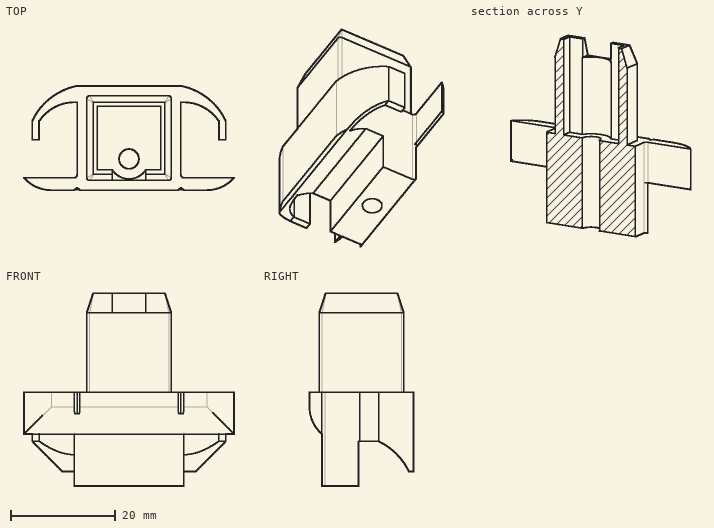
import cadquery as cq
import math

overall_length = 40.35
overall_width = 20.0
overall_height = 37.0
back_y = overall_width / 2
front_y = -back_y

post_side = 16.2
post_height = 18.95
post_corner_radius = 0.52
taper_height = 3.7
taper_top_side = 13.8
taper_top_corner_radius = 0.05
shoulder_z = post_height - taper_height

cavity_side = 12.18
cavity_floor_z = 0.0
screw_y = -4.0
screw_hole_diameter = 3.75
screw_seat_diameter = 7.65
window_width = 6.37

plate_thickness = 2.4
plate_height = 8.05
plate_edge_run = 5.25
plate_back_y = front_y + plate_thickness

web_half_width = 9.95
web_fillet = 0.55
block_back_y = -0.55
block_bottom_z = post_height - overall_height

arm_outer_x = 18.55
arm_thickness = 1.35
arm_tip_y = -0.32
arm_bend_y = 3.3
arm_arc_end_x = 10.1
arm_radius = 12.1
arm_inner_x = arm_outer_x - arm_thickness
arm_inner_bend_y = 3.23
arm_inner_top_y = 6.85
arm_inner_arc_end_x = 10.5
arm_bottom_z = -9.48
hook_bottom_z = -15.25

groove_half_width = 0.55
groove_depth = 0.52
groove_length = 4.15


def arc_radius(run, rise):
    """Radius of an arc that leaves tangent to its run and falls by the rise."""
    return (run**2 + rise**2) / (2 * rise)


def arc_center(start, end, radius):
    """Center of the arc running counterclockwise between two points."""
    dx = end[0] - start[0]
    dy = end[1] - start[1]
    chord = math.hypot(dx, dy)
    offset = math.sqrt(radius**2 - chord**2 / 4) / chord
    return ((start[0] + end[0]) / 2 - dy * offset, (start[1] + end[1]) / 2 + dx * offset)


def arc_middle(center, radius, start, end):
    """Middle point of the shorter arc between two points on a circle."""
    dx = (start[0] + end[0]) / 2 - center[0]
    dy = (start[1] + end[1]) / 2 - center[1]
    reach = radius / math.hypot(dx, dy)
    return (center[0] + dx * reach, center[1] + dy * reach)


plate_edge_radius = arc_radius(plate_edge_run, plate_thickness)
arm_center = arc_center((arm_outer_x, arm_bend_y), (arm_arc_end_x, back_y), arm_radius)
inner_radius = arc_radius(arm_inner_x - arm_inner_arc_end_x, arm_inner_top_y - arm_inner_bend_y)
inner_center = (arm_inner_arc_end_x, arm_inner_top_y - inner_radius)


def plan_half():
    """Right half of the flange in plan, extruded down to the block bottom."""
    plate_arc_x = overall_length / 2 - plate_edge_run
    plate_arc_start = (plate_arc_x, front_y)
    plate_tip = (overall_length / 2, plate_back_y)
    plate_center = (plate_arc_x, front_y + plate_edge_radius)
    inner_top = (arm_inner_arc_end_x, arm_inner_top_y)
    inner_bend = (arm_inner_x, arm_inner_bend_y)
    outer_bend = (arm_outer_x, arm_bend_y)
    outer_top = (arm_arc_end_x, back_y)
    half = (
        cq.Workplane("XY")
        .moveTo(0, front_y)
        .lineTo(*plate_arc_start)
        .threePointArc(arc_middle(plate_center, plate_edge_radius, plate_arc_start, plate_tip), plate_tip)
        .lineTo(web_half_width, plate_back_y)
        .lineTo(web_half_width, arm_inner_top_y)
        .lineTo(*inner_top)
        .threePointArc(arc_middle(inner_center, inner_radius, inner_top, inner_bend), inner_bend)
        .lineTo(arm_inner_x, arm_tip_y)
        .lineTo(arm_outer_x, arm_tip_y)
        .lineTo(*outer_bend)
        .threePointArc(arc_middle(arm_center, arm_radius, outer_bend, outer_top), outer_top)
        .lineTo(0, back_y)
        .close()
        .extrude(block_bottom_z)
    )
    web_corner = cq.selectors.NearestToPointSelector((web_half_width, plate_back_y, block_bottom_z / 2))
    return half.edges(web_corner).fillet(web_fillet)


def side_envelope():
    """Flange outline seen along X; its arcs repeat those of the plan."""
    plate_arc_start = (front_y, plate_edge_run - plate_height)
    plate_tip = (plate_back_y, -plate_height)
    plate_center = (front_y + plate_edge_radius, plate_arc_start[1])

    hook_center = (arm_center[1], arm_bottom_z - (arm_outer_x - arm_center[0]))
    hook_rise = hook_bottom_z - hook_center[1]
    hook_start = (arm_bend_y, arm_bottom_z)
    hook_end = (hook_center[0] + math.sqrt(arm_radius**2 - hook_rise**2), hook_bottom_z)
    return (
        cq.Workplane("YZ")
        .moveTo(front_y, 0)
        .lineTo(*plate_arc_start)
        .threePointArc(arc_middle(plate_center, plate_edge_radius, plate_arc_start, plate_tip), plate_tip)
        .lineTo(plate_back_y, block_bottom_z)
        .lineTo(block_back_y, block_bottom_z)
        .lineTo(block_back_y, arm_bottom_z)
        .lineTo(*hook_start)
        .threePointArc(arc_middle(hook_center, arm_radius, hook_start, hook_end), hook_end)
        .lineTo(back_y, hook_bottom_z)
        .lineTo(back_y, 0)
        .close()
        .extrude(overall_length / 2, both=True)
    )


def rounded_square(side, radius):
    return cq.Sketch().rect(side, side).vertices().fillet(radius)


def post():
    base = rounded_square(post_side, post_corner_radius)
    top = rounded_square(taper_top_side, taper_top_corner_radius)
    shaft = cq.Workplane("XY").placeSketch(base).extrude(shoulder_z)
    taper = (
        cq.Workplane("XY")
        .placeSketch(
            base.moved(cq.Location(cq.Vector(0, 0, shoulder_z))),
            top.moved(cq.Location(cq.Vector(0, 0, post_height))),
        )
        .loft()
    )
    return shaft.union(taper)


def cavity():
    """Square cavity joined by the round screw seat."""
    depth = post_height - cavity_floor_z
    floor = cq.Workplane("XY").workplane(offset=cavity_floor_z)
    square = floor.rect(cavity_side, cavity_side).extrude(depth)
    seat = floor.center(0, screw_y).circle(screw_seat_diameter / 2).extrude(shoulder_z - cavity_floor_z)
    return square.union(seat)


def window():
    """Opening through the front wall of the tapered end."""
    return cq.Workplane("XY").box(
        window_width, post_side / 2, taper_height, centered=(True, False, False)
    ).translate((0, -post_side / 2, shoulder_z))


def screw_hole():
    return (
        cq.Workplane("XY")
        .workplane(offset=block_bottom_z)
        .center(0, screw_y)
        .circle(screw_hole_diameter / 2)
        .extrude(overall_height)
    )


def groove(x):
    return (
        cq.Workplane("XY")
        .moveTo(x - groove_half_width, front_y)
        .lineTo(x + groove_half_width, front_y)
        .lineTo(x, front_y + groove_depth)
        .close()
        .extrude(-groove_length)
    )


right_half = plan_half()
flange = right_half.union(right_half.mirror("YZ")).intersect(side_envelope())
for side in (-1, 1):
    flange = flange.cut(groove(side * web_half_width))

result = flange.union(post()).cut(cavity()).cut(window()).cut(screw_hole())